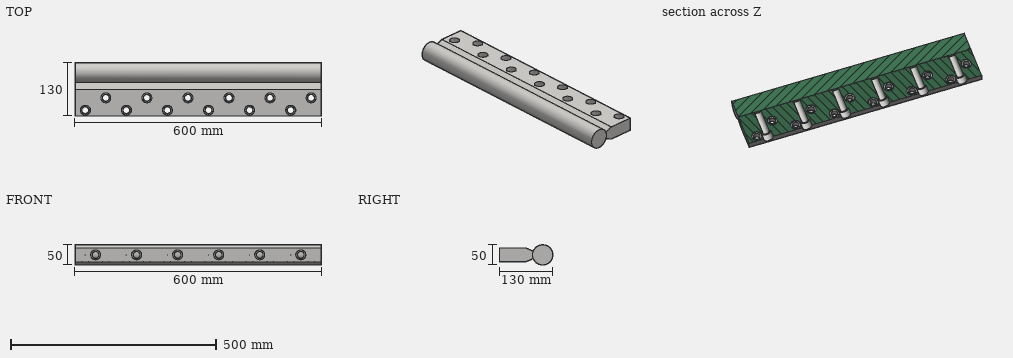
import cadquery as cq

length = 600.0
total_depth = 130.0
rod_diameter = 50.0
rod_radius = rod_diameter / 2

bar_thickness = 34.0
bar_flat_depth = 64.0
neck_thickness = 18.5
bar_front_y = rod_radius - total_depth
taper_start_y = bar_front_y + bar_flat_depth
neck_y = -((rod_radius**2 - (neck_thickness / 2) ** 2) ** 0.5)

hole_diameter = 16.0
counterbore_diameter = 24.0
counterbore_depth = 18.0
holes_per_row = 6
hole_pitch = length / holes_per_row
front_row_inset = 14.5
row_spacing = 30.0
front_row_start_x = hole_pitch / 4
cross_row_start_x = hole_pitch / 2
back_row_start_x = hole_pitch * 3 / 4


def make_rod():
    return cq.Workplane("YZ").circle(rod_radius).extrude(length)


def make_bar_blank():
    """Bar whose rear edge is a concave arc seated on the rod."""
    half_bar = bar_thickness / 2
    half_neck = neck_thickness / 2
    return (
        cq.Workplane("YZ")
        .moveTo(bar_front_y, -half_bar)
        .lineTo(taper_start_y, -half_bar)
        .lineTo(neck_y, -half_neck)
        .threePointArc((-rod_radius, 0), (neck_y, half_neck))
        .lineTo(taper_start_y, half_bar)
        .lineTo(bar_front_y, half_bar)
        .close()
        .extrude(length)
    )


def row_of_points(start_x, y, z):
    return [cq.Vector(start_x + i * hole_pitch, y, z) for i in range(holes_per_row)]


def cut_counterbored_holes(body, entry_points, direction, hole_depth):
    """Cut a counterbored hole inwards from each entry point."""
    for point in entry_points:
        hole = cq.Solid.makeCylinder(hole_diameter / 2, hole_depth, point, direction)
        counterbore = cq.Solid.makeCylinder(counterbore_diameter / 2, counterbore_depth, point, direction)
        body = body.cut(hole).cut(counterbore)
    return body


def make_bar():
    bar = make_bar_blank()

    front_row_y = bar_front_y + front_row_inset
    back_row_y = front_row_y + row_spacing
    top_points = row_of_points(front_row_start_x, front_row_y, bar_thickness / 2)
    top_points += row_of_points(back_row_start_x, back_row_y, bar_thickness / 2)
    bar = cut_counterbored_holes(bar, top_points, cq.Vector(0, 0, -1), bar_thickness)

    front_points = row_of_points(cross_row_start_x, bar_front_y, 0)
    return cut_counterbored_holes(bar, front_points, cq.Vector(0, 1, 0), total_depth - rod_diameter / 2)


rod = make_rod()
bar = make_bar()

result = cq.Compound.makeCompound([rod.val(), bar.val()])